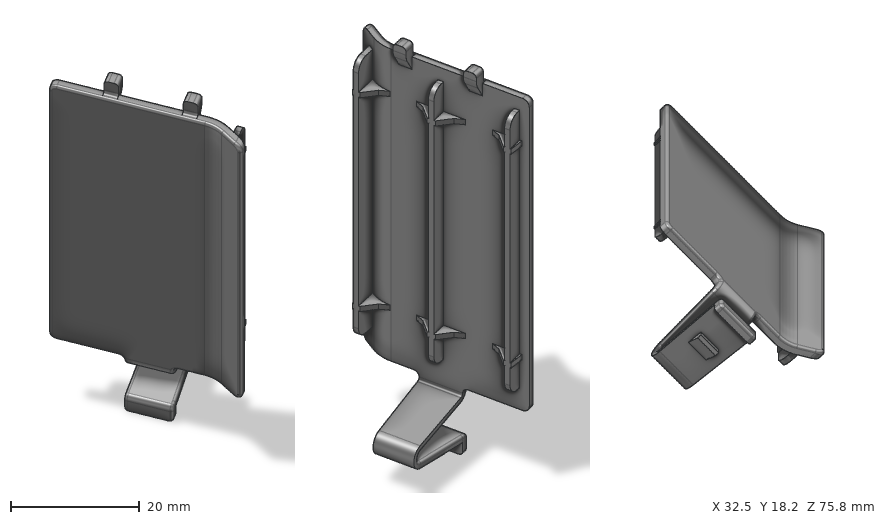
import cadquery as cq
import math

plate_width = 32.5
plate_height = 60.0
plate_thickness = 1.5
plate_corner_radius = 1.25
front_edge_radius = 0.5
center_x = plate_width / 2

bend_start_x = 25.45
bend_inner_radius = 5.7
bend_angle = math.radians(32)

rib_thickness = 1.0
rib_height = 2.8
rib_bottom_z = 4.2
rib_top_z = 57.5
rib_end_radius = 2.1
left_rib_x = 2.25
right_rib_x = 30.1
rib_root_y = plate_thickness / 2
tail_rib_root_y = -1.0

gusset_thickness = 1.0
gusset_top_reach = 0.75
gusset_toe_height = 0.7
gusset_reach = 4.5
gusset_center_z = (10.2, 51.3)
fin_overhang = 0.15
fin_draft_angle = math.radians(5)

hook_width = 2.4
hook_height = 2.75
hook_center_x = (9.8, 22.75)
hook_front_y = 1.2
hook_back_y = 3.25
hook_corner_radius = 0.75
hook_root_radius = 0.6
hook_ramp_top_z = 60.6
hook_ramp_bottom_z = 57.6
hook_ramp_radius = 3.0

latch_width = 8.0
latch_thickness = 1.2
latch_tip_y = 15.23
latch_tip_narrowing = 0.25
latch_center_z = -6.0
latch_half_mouth = 4.5
latch_angle = math.radians(11)
latch_bottom_z = -13.0
latch_head_height = 3.0
latch_head_width = 12.0
latch_flare_radius = 1.0
root_bend_back_radius = 0.6
root_bend_front_radius = 2.5
lip_bend_radius = 1.0
lip_corner_radius = 0.75

latch_slope = math.tan(latch_angle)
latch_half_inner = latch_half_mouth - latch_thickness / math.cos(latch_angle)
latch_half_front = latch_half_inner + plate_thickness * latch_slope

catch_width = 4.0
catch_front_y = 6.3
catch_flat_length = 0.7
catch_back_y = 9.0
catch_bottom_z = -11.0


def extrude_along_x(points, width, x_middle):
    """Prism of a (Y, Z) outline, centred on x_middle."""
    return cq.Workplane("YZ", origin=(x_middle, 0, 0)).polyline(points).close().extrude(width / 2, both=True)


def bend_point(radius, angle):
    """Point on the bend arc; the bend centre lies in front of the plate."""
    x = bend_start_x + radius * math.sin(angle)
    y = radius * math.cos(angle) - bend_inner_radius
    return x, y


def make_plate():
    back_radius = bend_inner_radius + plate_thickness
    front_end = bend_point(bend_inner_radius, bend_angle)
    back_end = bend_point(back_radius, bend_angle)
    slope = math.tan(bend_angle)
    front_edge_y = front_end[1] - (plate_width - front_end[0]) * slope
    back_edge_y = back_end[1] - (plate_width - back_end[0]) * slope
    plate = (
        cq.Workplane("XY")
        .moveTo(0, 0)
        .lineTo(bend_start_x, 0)
        .threePointArc(bend_point(bend_inner_radius, bend_angle / 2), front_end)
        .lineTo(plate_width, front_edge_y)
        .lineTo(plate_width, back_edge_y)
        .lineTo(*back_end)
        .threePointArc(bend_point(back_radius, bend_angle / 2), (bend_start_x, plate_thickness))
        .lineTo(0, plate_thickness)
        .close()
        .extrude(plate_height)
    )
    outline = (
        cq.Workplane("XZ")
        .rect(plate_width, plate_height)
        .extrude(plate_width, both=True)
        .edges("|Y")
        .fillet(plate_corner_radius)
        .translate((center_x, 0, plate_height / 2))
    )
    return plate.intersect(outline)


def make_rib(middle_x, root_y):
    """Rib along Z with rounded ends, rooted inside the plate at root_y."""
    height = plate_thickness + rib_height - root_y
    rib = (
        cq.Workplane("XY", origin=(middle_x, root_y + height / 2, rib_bottom_z))
        .rect(rib_thickness, height)
        .extrude(rib_top_z - rib_bottom_z)
    )
    return rib.faces(">Y").edges("|X").fillet(rib_end_radius)


def make_gusset(rib_x, side, root_y, middle_z):
    """45 degree gusset on one side of a rib, with a shallower toe out onto the plate."""
    top_y = plate_thickness + rib_height
    toe_start = gusset_top_reach + rib_height - gusset_toe_height
    toe_end_x = rib_x + side * gusset_reach
    outline = [
        (rib_x, root_y),
        (rib_x, top_y),
        (rib_x + side * gusset_top_reach, top_y),
        (rib_x + side * toe_start, plate_thickness + gusset_toe_height),
        (toe_end_x, plate_thickness),
        (toe_end_x, plate_thickness / 2),
    ]
    gusset = cq.Workplane("XY", origin=(0, 0, middle_z)).polyline(outline).close()
    return gusset.extrude(gusset_thickness / 2, both=True)


def make_fin(rib_x, side, root_y, middle_z):
    """Thin drafted fin on the outer flank of a side rib."""
    top_y = plate_thickness + rib_height
    top_x = rib_x + side * (rib_thickness / 2 + fin_overhang)
    root_x = top_x + side * (top_y - root_y) * math.tan(fin_draft_angle)
    outline = [(rib_x, root_y), (rib_x, top_y), (top_x, top_y), (root_x, root_y)]
    fin = cq.Workplane("XY", origin=(0, 0, middle_z)).polyline(outline).close()
    return fin.extrude(gusset_thickness / 2, both=True)


def make_stiffeners():
    parts = [
        make_rib(left_rib_x, rib_root_y),
        make_rib(center_x, rib_root_y),
        make_rib(right_rib_x, tail_rib_root_y),
    ]
    for z in gusset_center_z:
        parts.append(make_fin(left_rib_x, -1, rib_root_y, z))
        parts.append(make_gusset(left_rib_x, 1, rib_root_y, z))
        parts.append(make_gusset(center_x, -1, rib_root_y, z))
        parts.append(make_gusset(center_x, 1, rib_root_y, z))
        parts.append(make_gusset(right_rib_x, -1, tail_rib_root_y, z))
        parts.append(make_fin(right_rib_x, 1, tail_rib_root_y, z))
    return parts


def make_hook(middle_x):
    top_z = plate_height + hook_height
    embed_y = hook_front_y - hook_root_radius
    outline = [
        (hook_front_y, top_z),
        (hook_back_y, top_z),
        (hook_back_y, hook_ramp_top_z),
        (plate_thickness, hook_ramp_bottom_z),
        (embed_y, hook_ramp_bottom_z),
        (embed_y, plate_height),
        (hook_front_y, plate_height),
    ]
    hook = extrude_along_x(outline, hook_width, middle_x)
    ramp_top = cq.selectors.NearestToPointSelector((middle_x, hook_back_y, hook_ramp_top_z))
    hook = hook.edges(ramp_top).fillet(hook_ramp_radius)
    hook = hook.faces(">Z").edges("|Y").fillet(hook_corner_radius)
    root_fillet = (
        cq.Workplane("YZ", origin=(middle_x, 0, 0))
        .moveTo(hook_front_y, plate_height)
        .lineTo(embed_y, plate_height)
        .radiusArc((hook_front_y, plate_height + hook_root_radius), -hook_root_radius)
        .close()
        .extrude(hook_width / 2, both=True)
    )
    return hook.union(root_fillet)


def lower_arm_z(y):
    """Height of the underside of the lower latch arm."""
    return latch_center_z - latch_half_mouth + (y - plate_thickness) * latch_slope


def make_latch_strip():
    """Bent strip of constant width, shaped in the YZ plane as a V with a lip."""
    apex_back_y = plate_thickness + latch_half_mouth / latch_slope
    apex_front_y = plate_thickness + latch_half_inner / latch_slope
    apex_distance = apex_back_y - latch_tip_y
    tip_radius = apex_distance * math.sin(latch_angle) / (1 - math.sin(latch_angle))

    root_back = (plate_thickness, latch_center_z + latch_half_mouth)
    root_front = (0, latch_center_z + latch_half_front)
    lip_front = (0, latch_center_z - latch_half_front)
    apex_back = (apex_back_y, latch_center_z)
    apex_front = (apex_front_y, latch_center_z)
    side_profile = [
        (plate_thickness, latch_head_height),
        root_back,
        apex_back,
        (plate_thickness, latch_center_z - latch_half_mouth),
        (plate_thickness, latch_bottom_z),
        (0, latch_bottom_z),
        lip_front,
        apex_front,
        root_front,
        (0, latch_head_height),
    ]
    strip = extrude_along_x(side_profile, latch_head_width, center_x)
    bends = [
        (root_back, root_bend_back_radius),
        (root_front, root_bend_front_radius),
        (lip_front, lip_bend_radius),
        (apex_back, tip_radius),
        (apex_front, tip_radius - latch_thickness),
    ]
    for (y, z), radius in bends:
        strip = strip.edges(cq.selectors.NearestToPointSelector((center_x, y, z))).fillet(radius)
    return strip


def make_latch_outline():
    """Wide head inside the plate, flaring down into the narrower latch."""
    depth = 2 * latch_tip_y
    head = cq.Workplane("XZ").rect(latch_head_width, 2 * latch_head_height).extrude(depth, both=True)
    head = head.translate((center_x, 0, latch_head_height))
    tongue_length = latch_head_height - latch_bottom_z
    tongue = cq.Workplane("XZ").rect(latch_width, tongue_length).extrude(depth, both=True)
    tongue = tongue.translate((center_x, 0, latch_bottom_z + tongue_length / 2))
    outline = head.union(tongue)
    for side in (-1, 1):
        flare = (center_x + side * latch_width / 2, 0, 0)
        flare_edge = cq.selectors.NearestToPointSelector(flare)
        outline = outline.edges("|Y").edges(flare_edge).fillet(latch_flare_radius)
    return outline.edges("|Y and <Z").fillet(lip_corner_radius)


def make_latch():
    strip = make_latch_strip().intersect(make_latch_outline())
    for side in (-1, 1):
        flank = center_x + side * latch_width / 2
        wedge = [
            (flank, plate_thickness),
            (flank - side * latch_tip_narrowing, latch_tip_y),
            (flank + side, latch_tip_y),
            (flank + side, plate_thickness),
        ]
        cutter = cq.Workplane("XY", origin=(0, 0, latch_bottom_z)).polyline(wedge).close()
        strip = strip.cut(cutter.extrude(-latch_bottom_z))
    return strip


def front_face_points():
    """Points near the middles of the faces that make up the front of the plate and latch."""
    middle_z = plate_height / 2
    bend_middle = bend_point(bend_inner_radius, bend_angle / 2)
    bend_end = bend_point(bend_inner_radius, bend_angle)
    tail_x = (bend_end[0] + plate_width) / 2
    tail_y = bend_end[1] - (tail_x - bend_end[0]) * math.tan(bend_angle)

    arm_middle_y = latch_tip_y / 2
    arm_half_gap = latch_half_front - arm_middle_y * latch_slope
    lip_top_z = latch_center_z - latch_half_front
    return [
        (bend_start_x / 2, 0, middle_z),
        (*bend_middle, middle_z),
        (tail_x, tail_y, middle_z),
        (center_x, 0, latch_center_z + latch_half_front),
        (center_x, arm_middle_y, latch_center_z + arm_half_gap),
        (center_x, latch_tip_y - latch_thickness, latch_center_z),
        (center_x, arm_middle_y, latch_center_z - arm_half_gap),
        (center_x, 0, lip_top_z),
        (center_x, 0, (lip_top_z + latch_bottom_z) / 2),
    ]


def round_front_outline(body):
    """Round the outer outline of the front faces, leaving the edges between them."""
    edges = []
    for point in front_face_points():
        edges += body.faces(cq.selectors.NearestToPointSelector(point)).edges().vals()
    outline = [edge for edge in edges if sum(edge.isSame(other) for other in edges) == 1]
    return body.newObject(outline).fillet(front_edge_radius)


def make_catch():
    outline = [
        (catch_front_y, lower_arm_z(catch_front_y)),
        (catch_front_y, catch_bottom_z),
        (catch_front_y + catch_flat_length, catch_bottom_z),
        (catch_back_y, lower_arm_z(catch_back_y)),
        (catch_back_y, lower_arm_z(catch_back_y) + latch_thickness / 2),
        (catch_front_y, lower_arm_z(catch_front_y) + latch_thickness / 2),
    ]
    return extrude_along_x(outline, catch_width, center_x)


body = round_front_outline(make_plate().union(make_latch()))
for stiffener in make_stiffeners():
    body = body.union(stiffener)
for hook_x in hook_center_x:
    body = body.union(make_hook(hook_x))
result = body.union(make_catch()).solids()